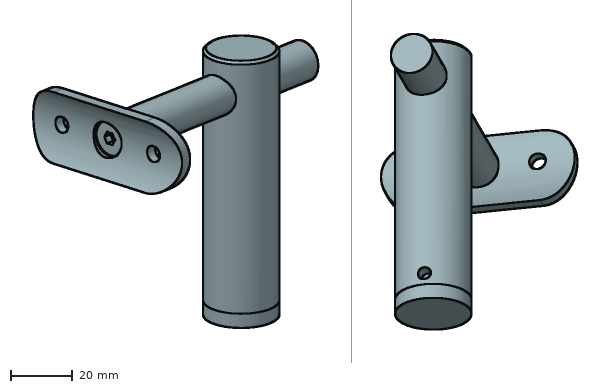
import cadquery as cq
import math

post_diameter = 25.0
post_radius = post_diameter / 2
total_height = 93.0
base_height = 5.0
post_top_chamfer = 1.0

set_screw_hole_diameter = 4.2
set_screw_hole_height = 9.0
set_screw_hole_depth = 5.0

rod_diameter = 14.0
rod_axis_height = 80.0
rod_back_y = 30.0
rod_front_y = -62.0

plate_length = 65.0
plate_width = 25.0
plate_thickness = 4.0
tube_radius = 21.2
plate_back_y = -61.5
plate_back_radius = tube_radius + plate_thickness
tube_axis_y = plate_back_y - plate_back_radius
plate_hollow_y = plate_back_y - plate_thickness
mounting_hole_diameter = 5.5
mounting_hole_spacing = 40.0

screw_head_diameter = 12.0
screw_head_rim = 0.3
screw_diameter = 6.0
screw_length = 16.0
screw_head_depth = 1.0
screw_recess_diameter = 12.3
screw_head_y = plate_hollow_y + screw_head_depth
hex_across_flats = 4.0
hex_depth = 3.0
hex_tip_angle = 120.0


def cylinder_along_y(diameter, start_y, end_y, x=0.0, z=rod_axis_height):
    """Cylinder parallel to Y from start_y to end_y, by default at the height of the rod axis."""
    plane = cq.Plane(origin=(x, start_y, z), xDir=(-1, 0, 0), normal=(0, 1, 0))
    return cq.Workplane(plane).circle(diameter / 2).extrude(end_y - start_y)


def make_base():
    return cq.Workplane("XY").circle(post_radius).extrude(base_height)


def make_screw_body():
    """Countersunk screw without its socket, also used to cut its seat."""
    head_radius = screw_head_diameter / 2
    shank_radius = screw_diameter / 2
    cone_start = screw_head_rim
    cone_end = cone_start + head_radius - shank_radius
    profile = (
        cq.Workplane(cq.Plane(origin=(0, screw_head_y, rod_axis_height)))
        .moveTo(0, 0)
        .lineTo(head_radius, 0)
        .lineTo(head_radius, cone_start)
        .lineTo(shank_radius, cone_end)
        .lineTo(shank_radius, screw_length)
        .lineTo(0, screw_length)
        .close()
    )
    return profile.revolve(360, (0, 0, 0), (0, 1, 0))


def make_hex_socket():
    """Hexagonal socket that ends in a drill point."""
    hex_across_corners = hex_across_flats / math.cos(math.radians(30))
    tip_radius = hex_across_flats / 2
    tip_depth = tip_radius / math.tan(math.radians(hex_tip_angle / 2))
    plane = cq.Plane(origin=(0, screw_head_y, rod_axis_height), xDir=(-1, 0, 0), normal=(0, 1, 0))
    prism = cq.Workplane(plane).polygon(6, hex_across_corners).extrude(hex_depth)
    tip = cq.Solid.makeCone(
        tip_radius, 0, tip_depth, cq.Vector(0, screw_head_y + hex_depth, rod_axis_height), cq.Vector(0, 1, 0)
    )
    return prism.union(cq.Workplane(tip))


def make_screw():
    return make_screw_body().cut(make_hex_socket())


def make_rod_blank():
    """Rod without its screw hole, also used to cut its passage and seat."""
    return cylinder_along_y(rod_diameter, rod_front_y, rod_back_y)


def make_rod():
    return make_rod_blank().cut(make_screw_body())


def make_post():
    post = (
        cq.Workplane("XY", origin=(0, 0, base_height))
        .circle(post_radius)
        .extrude(total_height - base_height)
        .faces(">Z")
        .chamfer(post_top_chamfer)
    )
    set_screw_hole = cylinder_along_y(
        set_screw_hole_diameter, post_radius - set_screw_hole_depth, post_radius, z=set_screw_hole_height
    )
    return post.cut(make_rod_blank()).cut(set_screw_hole)


def make_plate():
    """Tube-shaped shell trimmed to a rounded outline, with two mounting holes."""
    outline_plane = cq.Plane(origin=(0, plate_back_y, rod_axis_height), xDir=(1, 0, 0), normal=(0, -1, 0))
    outline = cq.Workplane(outline_plane).slot2D(plate_length, plate_width).extrude(plate_back_radius)
    shell = (
        cq.Workplane("YZ", origin=(-plate_length / 2, tube_axis_y, rod_axis_height))
        .circle(plate_back_radius)
        .circle(tube_radius)
        .extrude(plate_length)
    )
    plate = shell.intersect(outline)
    for side in (-1, 1):
        hole_x = side * mounting_hole_spacing / 2
        plate = plate.cut(cylinder_along_y(mounting_hole_diameter, tube_axis_y, plate_back_y, hole_x))
    plate = plate.cut(cylinder_along_y(screw_recess_diameter, tube_axis_y, screw_head_y))
    plate = plate.cut(make_screw_body())
    return plate.cut(make_rod_blank())


base = make_base()
post = make_post()
rod = make_rod()
plate = make_plate()
screw = make_screw()

result = cq.Compound.makeCompound([base.val(), post.val(), rod.val(), plate.val(), screw.val()])